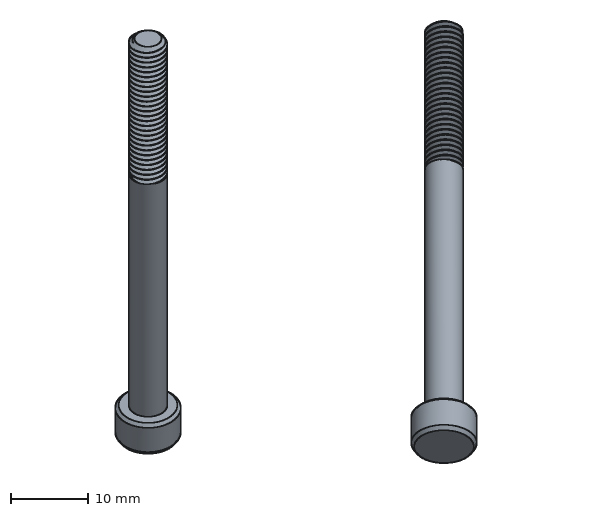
import cadquery as cq

overall_length = 65.0

head_diameter = 8.5
head_height = 5.0
head_top_chamfer = 0.45
head_bottom_chamfer_height = 0.6
head_bottom_chamfer_width = 0.4

shank_diameter = 5.0

thread_length = 22.0
thread_turns = 27.5
thread_core_diameter = 4.0
thread_phase_angle = 120.0
tip_flat_diameter = 3.5
tip_taper_height = 0.6

head_radius = head_diameter / 2
shank_radius = shank_diameter / 2
core_radius = thread_core_diameter / 2
tip_flat_radius = tip_flat_diameter / 2
thread_bottom = overall_length - thread_length
thread_pitch = thread_length / thread_turns
thread_crest_width = thread_pitch / 8
thread_root_width = thread_pitch / 8

groove_overrun = 2 * thread_pitch
rod_overrun = 2 * groove_overrun
crest_clearance = 0.05


def revolve_about_z(profile):
    """Solid of revolution about Z from a closed outline of (radius, height) points."""
    return cq.Workplane("XZ").polyline(profile).close().revolve(360, (0, 0), (0, 1))


def make_head():
    """Round head with a bevel on both rims."""
    return revolve_about_z([
        (0, 0),
        (head_radius - head_bottom_chamfer_width, 0),
        (head_radius, head_bottom_chamfer_height),
        (head_radius, head_height - head_top_chamfer),
        (head_radius - head_top_chamfer, head_height),
        (0, head_height),
    ])


def make_rod(bottom, top):
    """Plain cylinder of the shank diameter between two heights."""
    return cq.Workplane("XY").workplane(offset=bottom).circle(shank_radius).extrude(top - bottom)


def make_thread_envelope():
    """Cylinder that bounds the thread, with a tapered tip."""
    return revolve_about_z([
        (0, thread_bottom),
        (shank_radius, thread_bottom),
        (shank_radius, overall_length - tip_taper_height),
        (tip_flat_radius, overall_length),
        (0, overall_length),
    ])


def make_thread_groove():
    """Right-handed helical V groove with a narrow flat root."""
    start = thread_bottom - groove_overrun
    helix = cq.Wire.makeHelix(
        thread_pitch,
        thread_length + 2 * groove_overrun,
        core_radius,
        center=cq.Vector(0, 0, start),
    )
    root_half = thread_root_width / 2
    mouth_half = (thread_pitch - thread_crest_width) / 2
    flank_slope = (mouth_half - root_half) / (shank_radius - core_radius)
    outer_half = mouth_half + flank_slope * crest_clearance
    outer_radius = shank_radius + crest_clearance
    profile = [
        (core_radius, start - root_half),
        (outer_radius, start - outer_half),
        (outer_radius, start + outer_half),
        (core_radius, start + root_half),
    ]
    groove = cq.Workplane("XZ").polyline(profile).close().sweep(cq.Workplane(helix), isFrenet=True)
    return groove.rotate((0, 0, 0), (0, 0, 1), thread_phase_angle)


def make_threaded_end():
    """Grooved rod, trimmed to the thread length and to the tapered tip."""
    rod = make_rod(thread_bottom - rod_overrun, overall_length + rod_overrun)
    return rod.cut(make_thread_groove()).intersect(make_thread_envelope())


shank = make_rod(head_height, thread_bottom)
result = make_head().union(shank).union(make_threaded_end())